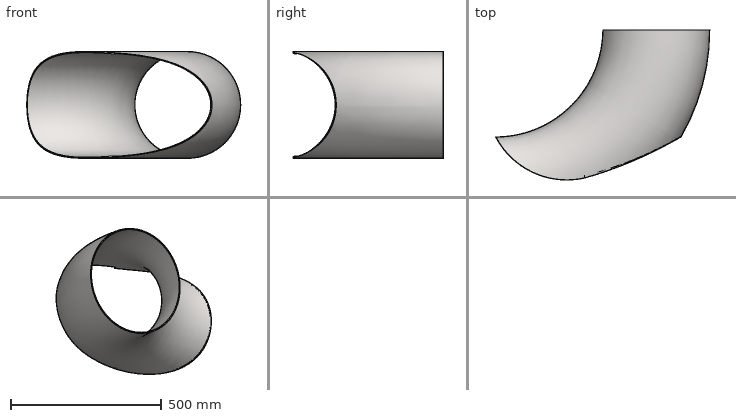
import cadquery as cq

bend_radius = 534.0
pipe_radius = 178.0
wall = 4.0
saddle_radius = 178.0
lip_radius = 267.0
lip_end_x = 295.5

bore_radius = pipe_radius - wall
inner_bend = bend_radius - pipe_radius
outer_bend = bend_radius + pipe_radius
lip_end_y = -bend_radius + lip_end_x**2 / (4 * bend_radius)


def quarter_bend(radius):
    """Solid 90 degree bend from the end face at y = 0 to the plane x = 0."""
    section = cq.Workplane("XZ").center(bend_radius, 0).circle(radius)
    return section.revolve(90, (-bend_radius, 0, 0), (-bend_radius, -1, 0))


def saddle_cut():
    """Run pipe and everything beyond its axis, starting where the lip ends."""
    start = cq.Workplane("YZ", origin=(lip_end_x, -bend_radius, 0))
    run_pipe = start.circle(saddle_radius).extrude(outer_bend)
    far_side = (
        start.center(-pipe_radius, 0)
        .rect(2 * pipe_radius, 2 * pipe_radius)
        .extrude(outer_bend)
    )
    return run_pipe.union(far_side)


def lip_cut():
    """Corner outside the rounded lip, cut straight through along Z."""
    return (
        cq.Workplane("XY")
        .moveTo(0, -inner_bend)
        .radiusArc((lip_end_x, lip_end_y), -lip_radius)
        .lineTo(lip_end_x, -outer_bend)
        .lineTo(-pipe_radius, -outer_bend)
        .lineTo(-pipe_radius, -inner_bend)
        .close()
        .extrude(2 * pipe_radius, both=True)
    )


elbow = quarter_bend(pipe_radius).cut(quarter_bend(bore_radius))
result = elbow.cut(lip_cut()).cut(saddle_cut())